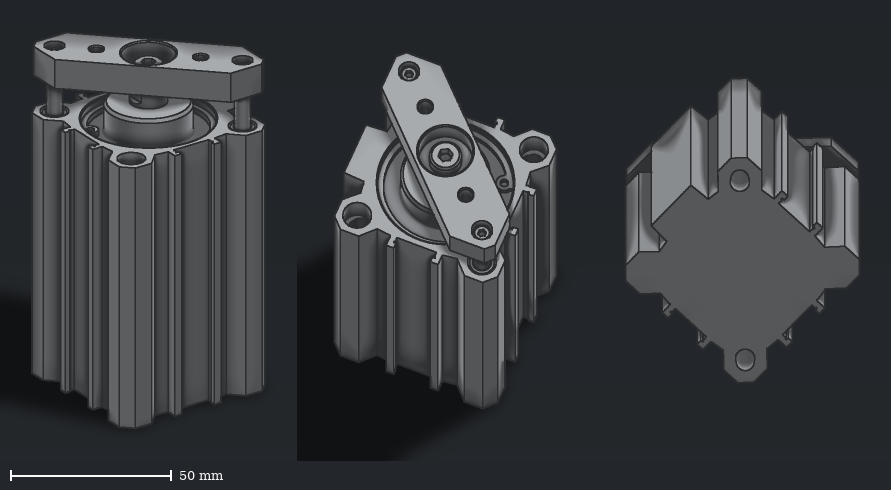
import cadquery as cq
import math


total_height = 112
housing_height = 89.5
plate_thickness = 10.0
plate_bottom = total_height - plate_thickness

body_width = 55.0
body_depth = 58.0
body_half = body_width / 2
post_chamfer = 3.6
post_inner = 17.8
flank_outer = (13.4, 23.0)
flank_depth = 23.4
flank_at_rail = 23.5
rail_outer = 8.7
rail_tip = 27.1
rail_lip = 6.2
rail_neck = 6.6
rail_undercut = 7.0
lip_bottom = 25.3
undercut_bottom = 24.9
port_top = body_depth - body_half
port_half_top = 9
port_half_base = 9.4

guide_offset = 42.0 / 2
bolt_offset = 20.2
bolt_diameter = 5.9
post_hole_diameter = 5.5
counterbore_diameter = 8.8
counterbore_depth = 9
guide_mouth_diameter = 9
guide_seat_diameter = 7.7
guide_seat_depth = 0.3
guide_entry_diameter = 5.8

bore_diameter = 42.2
bore_mouth_diameter = 43.0
ring_top = housing_height - 2.5
ring_thickness = 1.8
ring_inner_diameter = 38.5
ring_gap_angle = 40
cover_face = ring_top - ring_thickness
cover_length = 13.4
cover_bottom = cover_face - cover_length
collar_diameter = 27.9
collar_top = 95.5
collar_chamfer_width = 0.8
collar_chamfer_height = 1.2
collar_fillet = 0.8
tab_offset = (8.0, -16.5)
tab_diameter = 5.2
tab_root_fillet = 0.9
eye_diameter = 2.5

rod_diameter = 12.0
rod_flats = 10.0
flats_bottom = 97.4
rod_chamfer_width = 0.6
rod_chamfer_height = 1.1
stud_diameter = 10.0
stud_top = total_height - 3.0
stud_chamfer = 0.7
stud_hex = 4.0
stud_hex_depth = 3.4

plate_half = 26.8
plate_width = 20.0
plate_tip = 24.2
recess_diameter = 17.0
recess_chamfer = 0.5
recess_depth = 7.6
thread_offset = 11.6
thread_diameter = 4.1
thread_mouth_diameter = 5.0

guide_diameter = 5.0
guide_bottom = 44.8
head_hole_diameter = 6.5
head_diameter = 5.5
head_top = total_height - 1.9
head_height = 3.0
head_bottom = head_top - head_height
head_chamfer = 0.5
head_hex = 2.2
head_hex_depth = 1.5
screw_diameter = 3.0
screw_hole_diameter = 3.5
screw_length = 11.2
screw_bottom = head_bottom - screw_length

guide_points = [(guide_offset, guide_offset), (-guide_offset, -guide_offset)]


def disc(diameter, bottom, top, x=0, y=0):
    """Upright cylinder between two heights."""
    return cq.Workplane("XY", origin=(x, y, bottom)).circle(diameter / 2).extrude(top - bottom)


def cone(bottom_diameter, top_diameter, bottom, top, x=0, y=0):
    """Upright truncated cone between two heights."""
    solid = cq.Solid.makeCone(bottom_diameter / 2, top_diameter / 2, top - bottom, cq.Vector(x, y, bottom))
    return cq.Workplane(solid)


def hex_socket(across_flats, depth, top, x=0, y=0):
    """Hexagonal socket with a conical bottom."""
    across_corners = across_flats / math.cos(math.pi / 6)
    floor = top - depth
    prism = cq.Workplane("XY", origin=(x, y, floor)).polygon(6, across_corners).extrude(depth)
    tip_height = across_flats / 2 * math.tan(math.pi / 6)
    return prism.union(cone(0, across_flats, floor - tip_height, floor, x, y))


def mirrored_side(half):
    """Completes half a side, given from its right end to its middle."""
    return half + [(-along, out) for along, out in reversed(half)]


def housing_outline():
    post = [
        (body_half - post_chamfer, body_half),
        (post_inner, body_half),
        flank_outer,
    ]
    rail = [
        (rail_outer, flank_at_rail),
        (rail_outer, rail_tip),
        (rail_lip, rail_tip),
        (rail_lip, lip_bottom),
        (rail_undercut, lip_bottom),
        (rail_undercut, undercut_bottom),
        (rail_neck, undercut_bottom),
        (rail_neck, flank_depth),
    ]
    port = [(port_half_base, flank_at_rail), (port_half_top, port_top)]

    points = []
    for quarter, middle in enumerate([port, rail, rail, rail]):
        turn = quarter * math.pi / 2
        for along, out in mirrored_side(post + middle):
            points.append((
                along * math.cos(turn) - out * math.sin(turn),
                along * math.sin(turn) + out * math.cos(turn),
            ))
    return points


def make_housing():
    body = cq.Workplane("XY").polyline(housing_outline()).close().extrude(housing_height)
    body = body.cut(disc(bore_diameter, cover_bottom, housing_height))
    mouth_depth = (bore_mouth_diameter - bore_diameter) / 2
    body = body.cut(cone(bore_diameter, bore_mouth_diameter, housing_height - mouth_depth, housing_height))
    for side in (-1, 1):
        x, y = side * guide_offset, -side * guide_offset
        body = body.cut(disc(post_hole_diameter, 0, housing_height, x, y))
        body = body.cut(disc(bolt_diameter, 0, housing_height, side * bolt_offset, -side * bolt_offset))
        body = body.cut(disc(counterbore_diameter, housing_height - counterbore_depth, housing_height, x, y))
    seat = housing_height - guide_seat_depth
    entry_depth = (guide_entry_diameter - guide_diameter) / 2
    for x, y in guide_points:
        body = body.cut(cone(guide_seat_diameter, guide_mouth_diameter, seat, housing_height, x, y))
        body = body.cut(cone(guide_diameter, guide_entry_diameter, seat - entry_depth, seat, x, y))
        body = body.cut(disc(guide_diameter, guide_bottom, seat, x, y))
    return body


def make_cover():
    outer = bore_diameter / 2
    collar = collar_diameter / 2
    profile = (
        cq.Workplane("XZ")
        .moveTo(rod_diameter / 2, cover_bottom)
        .lineTo(outer, cover_bottom)
        .lineTo(outer, cover_face)
        .lineTo(collar + collar_fillet, cover_face)
        .radiusArc((collar, cover_face + collar_fillet), collar_fillet)
        .lineTo(collar, collar_top - collar_chamfer_height)
        .lineTo(collar - collar_chamfer_width, collar_top)
        .lineTo(rod_diameter / 2, collar_top)
        .close()
    )
    return profile.revolve(360, (0, 0), (0, 1))


def is_tab_root(edge):
    """Whether an upright edge lies on the ring's inner circle, where a tab meets it."""
    tolerance = 0.01
    middle = edge.Center()
    return abs(math.hypot(middle.x, middle.y) - ring_inner_diameter / 2) < tolerance


def make_snap_ring():
    ring = disc(bore_diameter, cover_face, ring_top)
    ring = ring.cut(disc(ring_inner_diameter, cover_face, ring_top))
    tab_x, tab_y = tab_offset
    reach = bore_diameter
    gap_x = reach * math.tan(math.radians(ring_gap_angle / 2))
    gap = (
        cq.Workplane("XY", origin=(0, 0, cover_face))
        .polyline([(0, 0), (-gap_x, -reach), (gap_x, -reach)]).close()
        .extrude(ring_thickness)
    )
    ring = ring.cut(gap)
    for side in (-1, 1):
        x = side * tab_x
        ring = ring.union(disc(tab_diameter, cover_face, ring_top, x, tab_y))
    ring = ring.edges("|Z").filter(is_tab_root).fillet(tab_root_fillet)
    for side in (-1, 1):
        ring = ring.cut(disc(eye_diameter, cover_face, ring_top, side * tab_x, tab_y))
    return ring


def wrench_flat_cut(side):
    """Material removed by one wrench flat, which runs out at 45 degrees."""
    near = rod_flats / 2
    far = rod_diameter
    section = [
        (side * near, flats_bottom),
        (side * far, flats_bottom - (far - near)),
        (side * far, plate_bottom),
        (side * near, plate_bottom),
    ]
    return cq.Workplane("YZ").polyline(section).close().extrude(rod_diameter, both=True)


def make_piston_rod():
    chamfer_start = plate_bottom - rod_chamfer_height
    rod = disc(rod_diameter, cover_bottom, chamfer_start)
    rod = rod.union(cone(rod_diameter, rod_diameter - 2 * rod_chamfer_width, chamfer_start, plate_bottom))
    for side in (-1, 1):
        rod = rod.cut(wrench_flat_cut(side))
    stud = disc(stud_diameter, plate_bottom, stud_top).faces(">Z").chamfer(stud_chamfer)
    return rod.union(stud).cut(hex_socket(stud_hex, stud_hex_depth, stud_top))


def make_end_plate():
    inner = plate_half - plate_width / math.sqrt(2)
    outline = [
        (-inner, -plate_half),
        (plate_half, inner),
        (plate_half, plate_tip),
        (plate_tip, plate_half),
        (inner, plate_half),
        (-plate_half, -inner),
        (-plate_half, -plate_tip),
        (-plate_tip, -plate_half),
    ]
    plate = cq.Workplane("XY", origin=(0, 0, plate_bottom)).polyline(outline).close()
    plate = plate.extrude(plate_thickness)

    recess_mouth = recess_diameter + 2 * recess_chamfer
    plate = plate.cut(disc(stud_diameter, plate_bottom, total_height))
    plate = plate.cut(disc(recess_diameter, total_height - recess_depth, total_height))
    plate = plate.cut(cone(recess_diameter, recess_mouth, total_height - recess_chamfer, total_height))

    thread_chamfer = (thread_mouth_diameter - thread_diameter) / 2
    for spot in (-thread_offset, thread_offset):
        plate = plate.cut(disc(thread_diameter, plate_bottom, total_height, spot, spot))
        plate = plate.cut(cone(
            thread_diameter, thread_mouth_diameter, total_height - thread_chamfer, total_height,
            spot, spot,
        ))
    for x, y in guide_points:
        plate = plate.cut(disc(head_hole_diameter, head_bottom, total_height, x, y))
        plate = plate.cut(disc(screw_hole_diameter, plate_bottom, total_height, x, y))
    return plate


def make_guide_rod(x, y):
    rod = disc(guide_diameter, guide_bottom, plate_bottom, x, y)
    return rod.cut(disc(screw_diameter, screw_bottom, plate_bottom, x, y))


def make_cap_screw(x, y):
    head = disc(head_diameter, head_bottom, head_top, x, y).faces(">Z").chamfer(head_chamfer)
    screw = head.union(disc(screw_diameter, screw_bottom, head_bottom, x, y))
    return screw.cut(hex_socket(head_hex, head_hex_depth, head_top, x, y))


housing = make_housing()
cover = make_cover()
snap_ring = make_snap_ring()
piston_rod = make_piston_rod()
end_plate = make_end_plate()
guide_rods = [make_guide_rod(x, y) for x, y in guide_points]
cap_screws = [make_cap_screw(x, y) for x, y in guide_points]

bodies = [housing, cover, snap_ring, piston_rod, end_plate, *guide_rods, *cap_screws]
result = cq.Compound.makeCompound([body.val() for body in bodies])